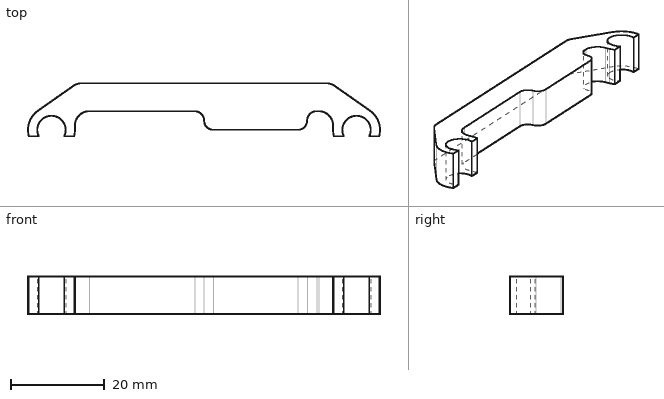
import cadquery as cq
import math

length = 75.0
depth = 11.3
thickness = 8.0

clip_radius = 5.0
socket_radius = 3.0
clip_y = 1.35
clip_x = length / 2 - clip_radius

beam_width = 6.0
slope_angle = 35.0
shoulder_radius = 3.0
inner_corner_radius = 3.0

pad_left = 0.0
pad_right = 22.0
pad_drop = 4.0
step_radius = pad_drop / 2

underside_y = depth - beam_width
pad_y = underside_y - pad_drop
step_y = underside_y - step_radius
arm_inner_x = clip_x - clip_radius
inner_corner_y = underside_y - inner_corner_radius
corner_start_x = arm_inner_x - inner_corner_radius
tip_half_width = math.sqrt(clip_radius**2 - clip_y**2)

slope = math.radians(slope_angle)
tangent_x = clip_x + clip_radius * math.sin(slope)
tangent_y = clip_y + clip_radius * math.cos(slope)
shoulder_low_y = depth - shoulder_radius * (1 - math.cos(slope))
shoulder_low_x = tangent_x - (shoulder_low_y - tangent_y) / math.tan(slope)
shoulder_top_x = shoulder_low_x - shoulder_radius * math.sin(slope)
shoulder_mid = (
    shoulder_top_x + shoulder_radius * math.sin(slope / 2),
    depth - shoulder_radius * (1 - math.cos(slope / 2)),
)


def arc_middle(center_x, center_y, radius, side_x, side_y):
    """Middle of a quarter arc; the sides (+1 or -1) choose the quadrant."""
    reach = radius * math.sqrt(0.5)
    return (center_x + side_x * reach, center_y + side_y * reach)


def make_body():
    """Solid outline, clockwise from the left end of the top edge."""
    outline = (
        cq.Workplane("XY")
        .moveTo(-shoulder_top_x, depth)
        .lineTo(shoulder_top_x, depth)
        .threePointArc(shoulder_mid, (shoulder_low_x, shoulder_low_y))
        .lineTo(tangent_x, tangent_y)
        .threePointArc((clip_x + clip_radius, clip_y), (clip_x + tip_half_width, 0))
        .lineTo(clip_x - tip_half_width, 0)
        .radiusArc((arm_inner_x, clip_y), clip_radius)
        .lineTo(arm_inner_x, inner_corner_y)
        .threePointArc(
            arc_middle(corner_start_x, inner_corner_y, inner_corner_radius, 1, 1),
            (corner_start_x, underside_y),
        )
        .lineTo(pad_right + step_radius, underside_y)
        .threePointArc(
            arc_middle(pad_right + step_radius, step_y, step_radius, -1, 1),
            (pad_right, step_y),
        )
        .threePointArc(
            arc_middle(pad_right - step_radius, step_y, step_radius, 1, -1),
            (pad_right - step_radius, pad_y),
        )
        .lineTo(pad_left + step_radius, pad_y)
        .threePointArc(
            arc_middle(pad_left + step_radius, step_y, step_radius, -1, -1),
            (pad_left, step_y),
        )
        .threePointArc(
            arc_middle(pad_left - step_radius, step_y, step_radius, 1, 1),
            (pad_left - step_radius, underside_y),
        )
        .lineTo(-corner_start_x, underside_y)
        .threePointArc(
            arc_middle(-corner_start_x, inner_corner_y, inner_corner_radius, -1, 1),
            (-arm_inner_x, inner_corner_y),
        )
        .lineTo(-arm_inner_x, clip_y)
        .radiusArc((-clip_x + tip_half_width, 0), clip_radius)
        .lineTo(-clip_x - tip_half_width, 0)
        .threePointArc((-clip_x - clip_radius, clip_y), (-tangent_x, tangent_y))
        .lineTo(-shoulder_low_x, shoulder_low_y)
        .threePointArc((-shoulder_mid[0], shoulder_mid[1]), (-shoulder_top_x, depth))
        .close()
    )
    return outline.extrude(thickness)


def make_sockets():
    """Round cutters through both clips."""
    centers = [(-clip_x, clip_y), (clip_x, clip_y)]
    return cq.Workplane("XY").pushPoints(centers).circle(socket_radius).extrude(thickness)


result = make_body().cut(make_sockets())